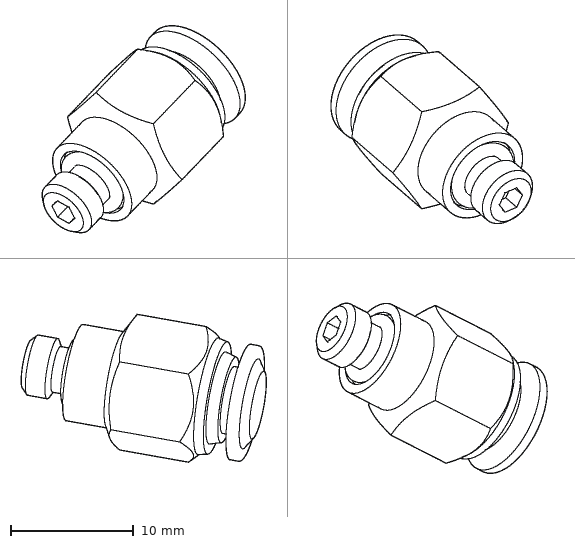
import cadquery as cq
import math

total_length = 19.4

tip_radius = 2.5
tip_chamfer = 0.48
thread_end = 2.13
neck_radius = 1.9
neck_start = thread_end + (tip_radius - neck_radius) * math.tan(math.radians(30))

socket_flats = 2.0
socket_depth = 1.55

collar_start = 4.0
collar_end = 7.49
collar_radius = 4.0
recess_radius = 3.2
ring_section_radius = 0.55
ring_bite = 0.004
ring_center_radius = neck_radius + ring_section_radius - ring_bite
recess_floor = collar_start + ring_section_radius - ring_bite

hex_flats = 10.0
corner_radius = hex_flats / 2 / math.cos(math.radians(30))
front_cone_end = collar_end + (corner_radius - collar_radius) * math.tan(math.radians(30))
shoulder_start = 15.23
shoulder_base_radius = 4.83
rear_cone_start = shoulder_start - (corner_radius - shoulder_base_radius)

shoulder_end = 16.0
shoulder_top_radius = 4.65
bush_base_radius = 3.82
bush_top_radius = 3.55
bush_end = 16.94

stem_radius = 2.77
flare_start = 17.4
flare_radius = 3.25
flange_start = 17.93
flange_radius = 4.8
flange_end = 18.78
flange_round = 0.17
crown_base_radius = 3.72
crown_top_radius = 2.81


def revolve_about_y(profile):
    return profile.close().revolve(360, (0, 0, 0), (0, 1, 0))


def hex_prism(across_flats, start, length):
    """Hexagonal prism along +Y with corners on the X axis."""
    across_corners = across_flats / math.cos(math.radians(30))
    plane = cq.Workplane("XZ", origin=(0, start, 0))
    return plane.polygon(6, across_corners).extrude(-length)


def make_tip():
    return revolve_about_y(
        cq.Workplane("XY")
        .lineTo(tip_radius - tip_chamfer, 0)
        .lineTo(tip_radius, tip_chamfer)
        .lineTo(tip_radius, thread_end)
        .lineTo(neck_radius, neck_start)
        .lineTo(neck_radius, collar_end)
        .lineTo(0, collar_end)
    )


def make_collar():
    return revolve_about_y(
        cq.Workplane("XY")
        .moveTo(0, recess_floor)
        .lineTo(recess_radius, recess_floor)
        .lineTo(recess_radius, collar_start)
        .lineTo(collar_radius, collar_start)
        .lineTo(collar_radius, collar_end)
        .lineTo(0, collar_end)
    )


def make_sealing_ring():
    section = cq.Workplane("XY").center(ring_center_radius, collar_start).circle(ring_section_radius)
    return section.revolve(360, (-ring_center_radius, 0, 0), (-ring_center_radius, 1, 0))


def make_hex_body():
    turned_blank = revolve_about_y(
        cq.Workplane("XY")
        .moveTo(0, collar_end)
        .lineTo(collar_radius, collar_end)
        .lineTo(corner_radius, front_cone_end)
        .lineTo(corner_radius, rear_cone_start)
        .lineTo(shoulder_base_radius, shoulder_start)
        .lineTo(0, shoulder_start)
    )
    return turned_blank.intersect(hex_prism(hex_flats, collar_end, shoulder_start - collar_end))


def make_shoulder_and_bush():
    return revolve_about_y(
        cq.Workplane("XY")
        .moveTo(0, shoulder_start)
        .lineTo(shoulder_base_radius, shoulder_start)
        .lineTo(shoulder_top_radius, shoulder_end)
        .lineTo(bush_base_radius, shoulder_end)
        .lineTo(bush_top_radius, bush_end)
        .lineTo(0, bush_end)
    )


def make_release_button():
    round_inset = flange_round * (1 - math.sqrt(0.5))
    flare_height = flange_start - flare_start
    flare_width = flare_radius - stem_radius
    flare_mid = (
        flare_radius - flare_width * math.sqrt(0.5),
        flare_start + flare_height * math.sqrt(0.5),
    )
    return revolve_about_y(
        cq.Workplane("XY")
        .moveTo(0, bush_end)
        .lineTo(stem_radius, bush_end)
        .lineTo(stem_radius, flare_start)
        .threePointArc(flare_mid, (flare_radius, flange_start))
        .lineTo(flange_radius, flange_start)
        .lineTo(flange_radius, flange_end - flange_round)
        .threePointArc(
            (flange_radius - round_inset, flange_end - round_inset),
            (flange_radius - flange_round, flange_end),
        )
        .lineTo(crown_base_radius, flange_end)
        .lineTo(crown_top_radius, total_length)
        .lineTo(0, total_length)
    )


result = (
    make_tip()
    .union(make_collar())
    .union(make_sealing_ring())
    .union(make_hex_body())
    .union(make_shoulder_and_bush())
    .union(make_release_button())
    .cut(hex_prism(socket_flats, 0, socket_depth))
)